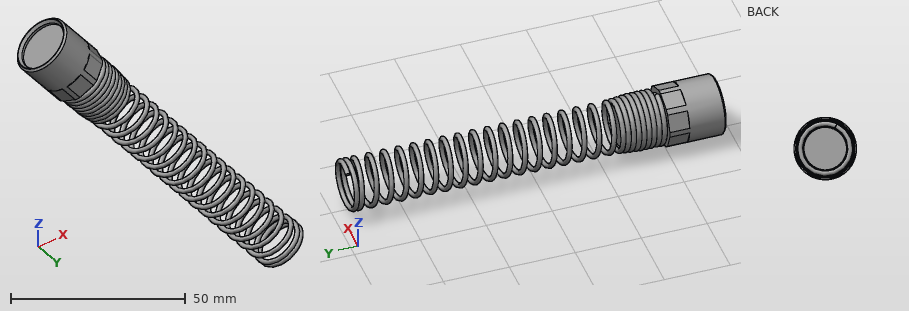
import cadquery as cq
import math


CAP_DIAMETER = 18.0
CAP_LENGTH = 17.3
OUTER_CHAMFER = 0.6
RECESS_DIAMETER = 15.1
RECESS_DEPTH = 1.7
RECESS_FLARE = 0.7
RECESS_FLARE_DEPTH = 0.9

FLAT_COUNT = 8
FLAT_LENGTH = 6.0
ACROSS_FLATS = 17.2

NECK_DIAMETER = 14.0
NECK_TIP_DIAMETER = 12.2
NECK_STRAIGHT_LENGTH = 7.5
NECK_TAPER_LENGTH = 5.7

TOTAL_LENGTH = 113.6
WIRE_DIAMETER = 1.5
COIL_CLEARANCE = 0.02
FREE_COIL_DIAMETER = 15.8
CLOSED_COIL_GAP = 0.07
OPEN_COILS_LENGTH = 78.3
TURNS_AT_CAP = 8.8
TURNS_OPEN = 17.4
TAPER_START_TURN = 5.0
TAPER_END_TURN = 9.0
END_TURN = 28.07
POINTS_PER_TURN = 16

wire_radius = WIRE_DIAMETER / 2
closed_pitch = WIRE_DIAMETER + CLOSED_COIL_GAP
open_pitch = OPEN_COILS_LENGTH / TURNS_OPEN
gripping_radius = NECK_DIAMETER / 2 + wire_radius + COIL_CLEARANCE
free_radius = FREE_COIL_DIAMETER / 2 - wire_radius
open_end_turn = TURNS_AT_CAP + TURNS_OPEN
coil_start = CAP_LENGTH + wire_radius + COIL_CLEARANCE
coil_end = TOTAL_LENGTH - wire_radius
open_start = coil_start + closed_pitch * TURNS_AT_CAP
open_end = open_start + OPEN_COILS_LENGTH


def make_cap():
    """Recessed cap with wrench flats and a tapered neck that holds the spring."""
    radius = CAP_DIAMETER / 2
    recess_radius = RECESS_DIAMETER / 2
    neck_radius = NECK_DIAMETER / 2
    taper_start = CAP_LENGTH + NECK_STRAIGHT_LENGTH
    neck_end = taper_start + NECK_TAPER_LENGTH
    profile = [
        (0, RECESS_DEPTH),
        (recess_radius, RECESS_DEPTH),
        (recess_radius, RECESS_FLARE_DEPTH),
        (recess_radius + RECESS_FLARE, 0),
        (radius - OUTER_CHAMFER, 0),
        (radius, OUTER_CHAMFER),
        (radius, CAP_LENGTH),
        (neck_radius, CAP_LENGTH),
        (neck_radius, taper_start),
        (NECK_TIP_DIAMETER / 2, neck_end),
        (0, neck_end),
    ]
    cap = cq.Workplane("XY").polyline(profile).close().revolve(360, (0, 0), (0, 1))
    return cut_flats(cap)


def cut_flats(cap):
    """Cut equally spaced flats at the back of the cap, leaving narrow round lands between."""
    apothem = ACROSS_FLATS / 2
    pitch_angle = 360 / FLAT_COUNT
    cutter = cq.Workplane("XY").box(
        CAP_DIAMETER, FLAT_LENGTH, CAP_DIAMETER, centered=(True, False, False)
    ).translate((0, CAP_LENGTH - FLAT_LENGTH, apothem))
    for index in range(FLAT_COUNT):
        angle = (index + 0.5) * pitch_angle
        cap = cap.cut(cutter.rotate((0, 0, 0), (0, 1, 0), angle))
    return cap


def coil_height(turn):
    """Y of the wire centre: closed coils on the neck, open coils, then a closed end."""
    if turn <= TURNS_AT_CAP:
        return coil_start + closed_pitch * turn
    if turn <= open_end_turn:
        return open_start + open_pitch * (turn - TURNS_AT_CAP)
    closing = (turn - open_end_turn) / (END_TURN - open_end_turn)
    return open_end + (coil_end - open_end) * closing


def coil_radius(turn):
    """Mean coil radius, shrinking from the gripping coils to the free coils."""
    taper = (turn - TAPER_START_TURN) / (TAPER_END_TURN - TAPER_START_TURN)
    taper = min(max(taper, 0), 1)
    return gripping_radius + (free_radius - gripping_radius) * taper


def coil_point(turn):
    """Wire centre after the given number of turns, starting from +Z and heading to -X."""
    angle = 2 * math.pi * turn
    radius = coil_radius(turn)
    return cq.Vector(-radius * math.sin(angle), coil_height(turn), radius * math.cos(angle))


def make_spring():
    """Round wire swept along the variable-pitch coil."""
    steps = round(END_TURN * POINTS_PER_TURN)
    points = [coil_point(END_TURN * step / steps) for step in range(steps + 1)]
    path = cq.Edge.makeSpline(points)
    section = cq.Plane(origin=path.startPoint(), normal=path.tangentAt(0))
    wire_path = cq.Workplane("XY").newObject([cq.Wire.assembleEdges([path])])
    return cq.Workplane(section).circle(wire_radius).sweep(wire_path, isFrenet=True)


cap = make_cap()
spring = make_spring()

result = cq.Compound.makeCompound([cap.val(), spring.val()])